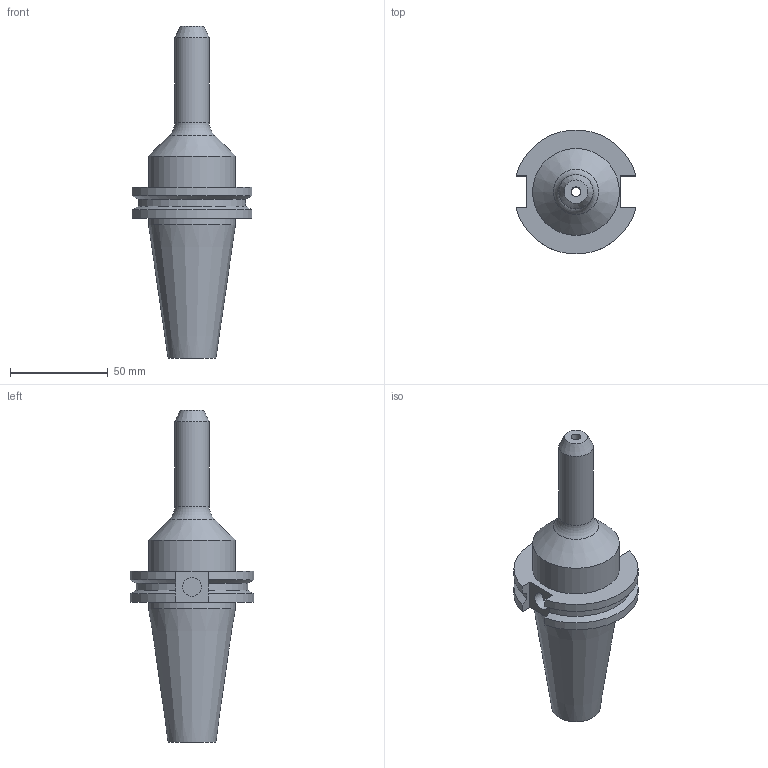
import math

import cadquery as cq


GAUGE_DIAMETER = 44.45
TAPER_LENGTH = 68.25
TAPER_RATIO = 7 / 24

FLANGE_DIAMETER = 63.5
FLANGE_BOTTOM = 3.175
FLANGE_TOP = 19.05
FLANGE_MIDDLE = (FLANGE_BOTTOM + FLANGE_TOP) / 2
GROOVE_FLOOR_DIAMETER = 57.15
GROOVE_FLOOR_WIDTH = 3.5
GROOVE_FLANK_ANGLE = 30

NOTCH_WIDTH = 16.38
LEFT_NOTCH_FLOOR = 25.1
RIGHT_NOTCH_FLOOR = 22.6

SIDE_HOLE_DIAMETER = 9.525
SIDE_HOLE_DEPTH = 5.0

COLLAR_TOP = 35.0
NOSE_DIAMETER = 17.6
NOSE_TOP = 101.6
NECK_FILLET = 9.525
CONE_ANGLE = 45
TIP_DIAMETER = 12.0
TIP_LENGTH = 6.0
BORE_DIAMETER = 5.0


def make_body():
    """Turned body without the groove: taper, flange, collar, cone and nose."""
    gauge_radius = GAUGE_DIAMETER / 2
    flange_radius = FLANGE_DIAMETER / 2
    nose_radius = NOSE_DIAMETER / 2
    small_end_radius = gauge_radius - TAPER_LENGTH * TAPER_RATIO / 2

    cone = math.radians(CONE_ANGLE)
    sharp_corner = COLLAR_TOP + (gauge_radius - nose_radius) / math.tan(cone)
    arc_top = sharp_corner + NECK_FILLET * math.tan(cone / 2)
    arc_centre_radius = nose_radius + NECK_FILLET

    def neck_point(angle):
        """Point on the neck arc, with the angle measured down from its top end."""
        return (
            arc_centre_radius - NECK_FILLET * math.cos(angle),
            arc_top - NECK_FILLET * math.sin(angle),
        )

    profile = (
        cq.Workplane("XZ")
        .moveTo(0, -TAPER_LENGTH)
        .lineTo(small_end_radius, -TAPER_LENGTH)
        .lineTo(gauge_radius, 0)
        .lineTo(gauge_radius, FLANGE_BOTTOM)
        .lineTo(flange_radius, FLANGE_BOTTOM)
        .lineTo(flange_radius, FLANGE_TOP)
        .lineTo(gauge_radius, FLANGE_TOP)
        .lineTo(gauge_radius, COLLAR_TOP)
        .lineTo(*neck_point(cone))
        .threePointArc(neck_point(cone / 2), (nose_radius, arc_top))
        .lineTo(nose_radius, NOSE_TOP - TIP_LENGTH)
        .lineTo(TIP_DIAMETER / 2, NOSE_TOP)
        .lineTo(0, NOSE_TOP)
        .close()
    )
    return profile.revolve(360, (0, 0, 0), (0, 1, 0))


def make_groove():
    """Ring that cuts the flared gripper groove around the flange."""
    floor_radius = GROOVE_FLOOR_DIAMETER / 2
    flange_radius = FLANGE_DIAMETER / 2
    floor_half = GROOVE_FLOOR_WIDTH / 2
    flank_rise = (flange_radius - floor_radius) * math.tan(math.radians(GROOVE_FLANK_ANGLE))
    mouth_half = floor_half + flank_rise
    section = [
        (floor_radius, FLANGE_MIDDLE - floor_half),
        (flange_radius, FLANGE_MIDDLE - mouth_half),
        (flange_radius, FLANGE_MIDDLE + mouth_half),
        (floor_radius, FLANGE_MIDDLE + floor_half),
    ]
    return cq.Workplane("XZ").polyline(section).close().revolve(360, (0, 0, 0), (0, 1, 0))


def make_notch(side, floor_distance):
    """Drive notch through the flange; side is -1 for -X and +1 for +X."""
    length = FLANGE_DIAMETER / 2
    height = FLANGE_TOP - FLANGE_BOTTOM
    return (
        cq.Workplane("XY")
        .box(length, NOTCH_WIDTH, height)
        .translate((side * (floor_distance + length / 2), 0, FLANGE_MIDDLE))
    )


def make_side_hole():
    """Blind hole running in +X from the floor of the -X notch."""
    return (
        cq.Workplane("YZ", origin=(-LEFT_NOTCH_FLOOR, 0, FLANGE_MIDDLE))
        .circle(SIDE_HOLE_DIAMETER / 2)
        .extrude(SIDE_HOLE_DEPTH)
    )


def make_bore():
    """Straight bore along the whole axis."""
    return (
        cq.Workplane("XY", origin=(0, 0, -TAPER_LENGTH))
        .circle(BORE_DIAMETER / 2)
        .extrude(TAPER_LENGTH + NOSE_TOP)
    )


result = (
    make_body()
    .cut(make_groove())
    .cut(make_notch(-1, LEFT_NOTCH_FLOOR))
    .cut(make_notch(1, RIGHT_NOTCH_FLOOR))
    .cut(make_side_hole())
    .cut(make_bore())
)